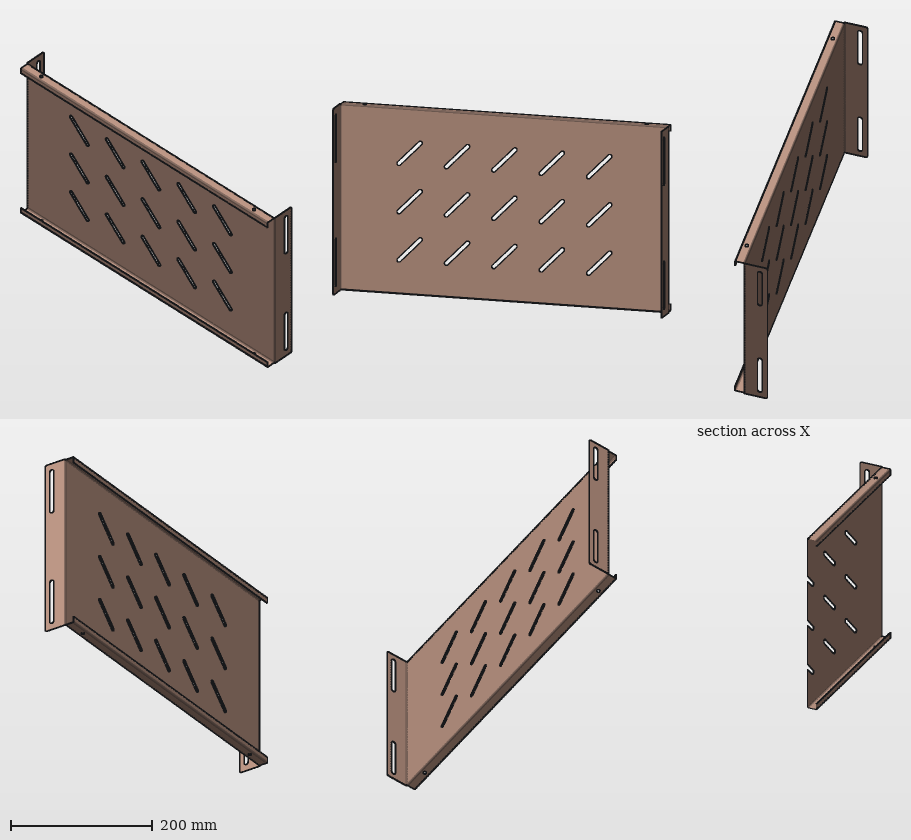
import cadquery as cq

length = 486.0
depth = 48.5
height = 270.0

sheet = 1.5
bend_inner = 0.25
bend_outer = bend_inner + sheet

panel_front = 13.5
panel_back = panel_front + sheet
flange_inset = bend_outer
lip_height = 9.5
rear_corner_radius = 3.0

vent_columns = 5
vent_rows = 3
vent_pitch = 70.0
vent_width = 6.0
vent_centre_distance = 44.5
vent_angle = -45

mount_slot_length = 70.0
mount_slot_width = 7.0
mount_slot_from_rear = 11.0
mount_slot_end_margin = 10.0

flange_hole_diameter = 5.0
flange_hole_x = 208.0
flange_hole_y = 8.0


def channel():
    """Panel with top and bottom flanges bent forward, ending in lips turned toward each other."""
    top = height / 2
    channel_length = length - 2 * flange_inset

    def box(front, back, half_height):
        """Full-length block between two Y planes, centred on Z."""
        return (
            cq.Workplane("YZ")
            .center((front + back) / 2, 0)
            .rect(back - front, 2 * half_height)
            .extrude(channel_length / 2, both=True)
        )

    outside = box(0, panel_back, top).edges("|X").fillet(bend_outer)
    inside = box(sheet, panel_front, top - sheet).edges("|X").fillet(bend_inner)
    mouth = box(0, sheet, top - lip_height)
    return outside.cut(inside).cut(mouth)


def side_flange():
    """Left side flange, bent back from the panel edge."""
    edge = -length / 2
    profile = (
        cq.Workplane("XY")
        .moveTo(edge + bend_outer, panel_front)
        .lineTo(edge + bend_outer, panel_back)
        .radiusArc((edge + sheet, panel_front + bend_outer), bend_inner)
        .lineTo(edge + sheet, depth)
        .lineTo(edge, depth)
        .lineTo(edge, panel_front + bend_outer)
        .radiusArc((edge + bend_outer, panel_front), -bend_outer)
        .close()
    )
    flange = profile.extrude(height / 2, both=True)
    return flange.edges("|X and >Y").fillet(rear_corner_radius)


def vent_slots():
    """Cutters for the slanted slots through the panel."""
    return (
        cq.Workplane("XZ")
        .rarray(vent_pitch, vent_pitch, vent_columns, vent_rows)
        .slot2D(vent_centre_distance + vent_width, vent_width, vent_angle)
        .extrude(-depth)
    )


def mounting_slots():
    """Cutters for the upright slots through both side flanges."""
    slot_z = height / 2 - mount_slot_end_margin - mount_slot_length / 2
    slot_y = depth - mount_slot_from_rear
    return (
        cq.Workplane("YZ")
        .pushPoints([(slot_y, -slot_z), (slot_y, slot_z)])
        .slot2D(mount_slot_length, mount_slot_width, 90)
        .extrude(length, both=True)
    )


def flange_holes():
    """Cutters for the holes through the top and bottom flanges."""
    return (
        cq.Workplane("XY")
        .pushPoints([(-flange_hole_x, flange_hole_y), (flange_hole_x, flange_hole_y)])
        .circle(flange_hole_diameter / 2)
        .extrude(height, both=True)
    )


left_flange = side_flange()
right_flange = left_flange.mirror("YZ")
tray = channel().union(left_flange).union(right_flange)
result = tray.cut(vent_slots()).cut(mounting_slots()).cut(flange_holes())